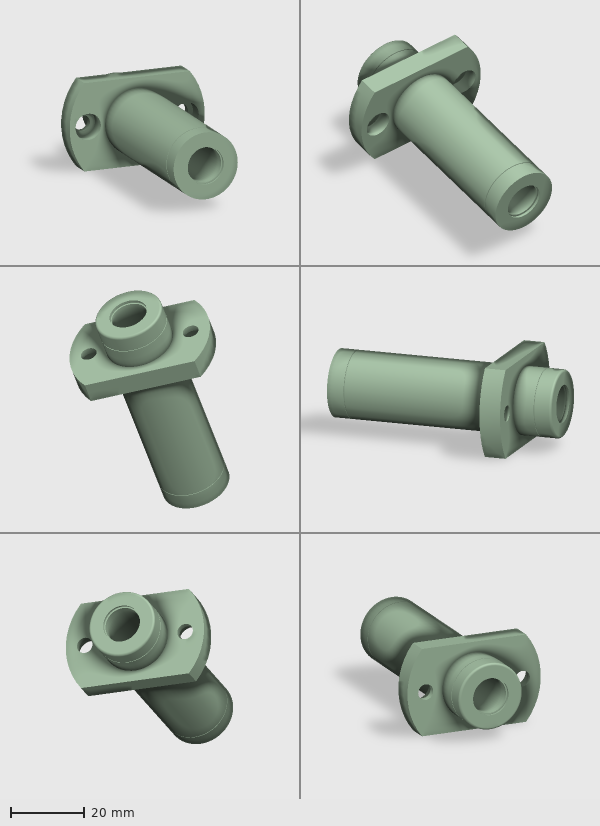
import cadquery as cq

length = 65.0
barrel_diameter = 19.0
front_fillet = 0.65

bore_diameter = 10.0
lip_diameter = 10.6
lip_width = 0.65
ring_groove_diameter = 11.2
ring_groove_width = 0.4

groove_inset = 4.8
groove_width = 0.25
groove_depth = 0.2

flange_start = 11.0
flange_thickness = 6.0
flange_diameter = 40.0
flange_height = 25.0

screw_hole_diameter = 4.5
screw_hole_spacing = 29.0
counterbore_diameter = 7.5
counterbore_depth = 4.1


def cylinder(start, thickness, diameter, y=0):
    """Solid cylinder parallel to X, beginning at X = start."""
    return cq.Workplane("YZ", origin=(start, y, 0)).circle(diameter / 2).extrude(thickness)


def make_barrel():
    barrel = cylinder(0, length, barrel_diameter).faces("<X").edges().fillet(front_fillet)
    groove_floor_diameter = barrel_diameter - 2 * groove_depth
    for start in (groove_inset, length - groove_inset - groove_width):
        ring = cylinder(start, groove_width, flange_diameter)
        ring = ring.cut(cylinder(start, groove_width, groove_floor_diameter))
        barrel = barrel.cut(ring)
    return barrel


def make_flange():
    flats = cq.Workplane("YZ", origin=(flange_start, 0, 0))
    flats = flats.rect(flange_diameter, flange_height).extrude(flange_thickness)
    flange = cylinder(flange_start, flange_thickness, flange_diameter).intersect(flats)
    counterbore_start = flange_start + flange_thickness - counterbore_depth
    for side in (-1, 1):
        y = side * screw_hole_spacing / 2
        flange = flange.cut(cylinder(flange_start, flange_thickness, screw_hole_diameter, y))
        flange = flange.cut(cylinder(counterbore_start, counterbore_depth, counterbore_diameter, y))
    return flange


def cut_bore(body):
    body = body.cut(cylinder(0, length, bore_diameter))
    for start in (0, length - lip_width):
        body = body.cut(cylinder(start, lip_width, lip_diameter))
    for start in (lip_width, length - lip_width - ring_groove_width):
        body = body.cut(cylinder(start, ring_groove_width, ring_groove_diameter))
    return body


result = cut_bore(make_barrel().union(make_flange()))